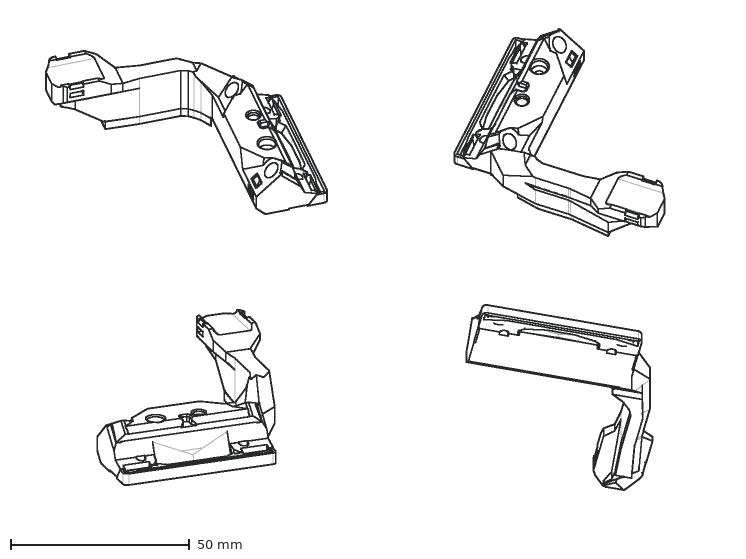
import cadquery as cq
import math

BAR_LEFT = 14.05
BAR_RIGHT = 59.9
BAR_MID = (BAR_LEFT + BAR_RIGHT) / 2
BAR_FRONT = 44.5
BAR_REAR = 56.5
DECK_Z = 13.2
DECK_REAR_Y = 54.65
REAR_TOP_Z = 11.5
REAR_BREAK_Z = 9.6
REAR_KNEE = (58.65, 5.1)
REAR_FOOT = (60.9, 0.5)
UNDERCUT = 2.7
END_BEVEL = 0.45

SCREW_ANGLE = math.radians(41.0)
SCREW_SLOPE = math.tan(SCREW_ANGLE)
SCREW_FACE_FOOT_Z = 6.9
SCREW_OFFSET = 18.7
SCREW_Y = 50.2
SCREW_Z = SCREW_FACE_FOOT_Z + (SCREW_Y - BAR_FRONT) * SCREW_SLOPE
SCREW_HOLE_D = 4.7
SCREW_HOLE_DEPTH = 5.9
SCREW_PLACES = (BAR_MID - SCREW_OFFSET, BAR_MID + SCREW_OFFSET)
DRIVER_RADIUS = 4.2
DRIVER_HEIGHT = 5.25

BOSS_HALF_WIDTH = 3.3
BOSS_SHOULDER = 2.2
BOSS_CREST = 3.95
BOSS_CREST_HALF_WIDTH = 0.45
BOSS_SWEEP = (0, 6.0, -5.1)

DECK_HOLE_Y = 52.2
SHALLOW_HOLE_X = 32.35
SHALLOW_HOLE_D = 3.4
SHALLOW_HOLE_RIM = 4.25
SHALLOW_HOLE_DEPTH = 1.3
DEEP_HOLE_X = 45.35
DEEP_HOLE_D = 4.7
DEEP_HOLE_RIM = 5.65
DEEP_HOLE_DEPTH = 2.6
DEEP_HOLE_FLOOR_D = 2.7
SLOT_HALF_WIDTH = 1.25
SLOT_END_Y = 52.75
SLOT_CORNER = 0.5
SLOT_RIM = 0.5
SLOT_FLOOR_Z = 11.15

LOOP_X = 54.8
LOOP_RADIUS = 2.2
LOOP_WIDTH = 3.8
LOOP_GAP = 1.7
LOOP_BEVEL = 0.3

JOINT_FOOT_Y = 59.5
LUG_TIP = (62.5, 3.8)
LUG_INNER = 25.8
LUG_STEP_X = 25.3
LUG_STEP_Y = 61.1
LUG_END_Y = 63.0
POCKET_X = 19.3
POCKET_D = 7.8
POCKET_FLOOR = (64.3, 3.2)
END_HOLE_D = 2.7
END_HOLE_OFFSET = 15.4
END_HOLE_Y = 59.05
END_HOLE_FLAT_Y = 58.6

FRAME_REAR = 65.6
FRAME_HEIGHT = 3.4
FRAME_WALL = 0.85
FRAME_CORNER = 1.3
FRAME_FRONT_STRIP_Y = 63.1

ARM_TOP = 16.4
ARM_BOTTOM = 2.7
ARM_BEVEL_TOP = 4.8
ROOT_START = 44.2
ROOT_REAR = (BAR_LEFT, 54.15)
ROOT_PEAK = (11.6, 43.2, 18.05)
ROOT_RIDGE_END = (BAR_LEFT, 51.45)
ROOT_VALLEY = (16.75, 46.7)
LIP_LOW_Z = 8.85
LIP_TOP_Z = 11.35
WAIST = (6.3, 11.7)
FOOT_FRONT = 15.5
FOOT_RIGHT = 18.05

CRADLE_WIDTH = 14.1
CRADLE_TOP = 20.8
CRADLE_FLOOR = 19.55
CRADLE_LEFT_LOW_Z = 16.9
CRADLE_RIGHT_LOW_Z = 15.3
CRADLE_WALL = 1.4
TROUGH_END = 14.9
TROUGH_FILLET = 1.2
TROUGH_CORNER = 1.0
TIE_Y = 4.15
TIE_WIDTH = 3.95
TIE_SLOT_BOTTOM = 16.85
TIE_SLOT_TOP = 18.4

ARM_LEFT = [(7.95, 48.05), (5.6, 37.4), (5.6, 27.4), (5.5, 26.8), (3.6, 14.6)]
ARM_RIGHT = [(11.15, 25.2), (11.15, 37.4), (11.95, 39.45), (12.9, 40.6), (14.5, 42.2), (18.4, BAR_FRONT)]
ARM_TIP = [(6.3, 5.85), (7.35, 2.3), (11.0, 2.3), (9.7, 6.9)]
FOOT_LEFT = [(10.05, 47.1), (7.7, 37.4), (7.7, 27.4), (7.6, 26.8), (5.8, 14.6)]
FOOT_CORNER = (10.5, 14.6)
CRADLE_OUTLINE = [
    (4.5, 20.2), (0, 16.15), (0, 3.3), (0.65, 2.2), (4.3, 0),
    (9.8, 0), (13.45, 2.2), (CRADLE_WIDTH, 3.3), (CRADLE_WIDTH, 16.15), (11.9, 20.2),
]

FAR = 262.5


def half_space(point, normal):
    """Very large block filling the side of a plane that its normal points to."""
    return cq.Workplane(cq.Plane(origin=point, normal=normal)).rect(FAR, FAR).extrude(FAR)


def upward_normal(p1, p2, p3):
    normal = (cq.Vector(*p2) - cq.Vector(*p1)).cross(cq.Vector(*p3) - cq.Vector(*p1))
    return normal if normal.z > 0 else normal * -1


def above(p1, p2, p3):
    """Half space above the plane through three points."""
    return half_space(p1, upward_normal(p1, p2, p3).toTuple())


def below(p1, p2, p3):
    """Half space below the plane through three points."""
    return half_space(p1, (upward_normal(p1, p2, p3) * -1).toTuple())


def above_slope_in_x(p1, p2):
    """Half space above the plane that runs along Y through two (X, Z) points."""
    (x1, z1), (x2, z2) = p1, p2
    return above((x1, 0, z1), (x1, 0.65, z1), (x2, 0, z2))


def above_slope_in_y(p1, p2):
    """Half space above the plane that runs along X through two (Y, Z) points."""
    (y1, z1), (y2, z2) = p1, p2
    return above((0, y1, z1), (0.65, y1, z1), (0, y2, z2))


def plan_prism(points, z0, z1):
    """Upright prism from (X, Y) points."""
    return cq.Workplane("XY", origin=(0, 0, z0)).polyline(points).close().extrude(z1 - z0)


def side_prism(points, x0, x1):
    """Prism along X from (Y, Z) points."""
    return cq.Workplane("YZ", origin=(x0, 0, 0)).polyline(points).close().extrude(x1 - x0)


def front_prism(points, y0, y1):
    """Prism along Y from (X, Z) points."""
    return cq.Workplane("XZ", origin=(0, y0, 0)).polyline(points).close().extrude(y0 - y1)


def plan_loft(low, high, z0, z1):
    """Straight-sided transition between two plan outlines."""
    lower = cq.Workplane("XY", origin=(0, 0, z0)).polyline(low).close()
    return lower.workplane(offset=z1 - z0).polyline(high).close().loft(ruled=True)


def box(x0, x1, y0, y1, z0, z1):
    return cq.Workplane("XY").box(x1 - x0, y1 - y0, z1 - z0, centered=False).translate((x0, y0, z0))


def mirrored(shape):
    """The same shape at the other end of the crossbar."""
    return shape.mirror("YZ", (BAR_MID, 0, 0))


def symmetric(points):
    """Left half outline completed with its mirror image about the crossbar middle."""
    return points + [(2 * BAR_MID - x, y) for x, y in reversed(points)]


def upper_arm():
    """Cradle and upper half of the arm, undercut on both flanks."""
    plan = plan_prism(ARM_LEFT[:4] + CRADLE_OUTLINE + ARM_RIGHT, 0, CRADLE_TOP)
    left = above_slope_in_x(WAIST, (0, CRADLE_LEFT_LOW_Z))
    right = above_slope_in_x((10.8, 12.6), (CRADLE_WIDTH, CRADLE_RIGHT_LOW_Z))
    return plan.intersect(left).intersect(right)


def lower_arm():
    """Narrow lower half of the arm with a bevelled bottom edge on the left."""
    rim = ARM_LEFT + ARM_TIP + ARM_RIGHT
    base = FOOT_LEFT + ARM_TIP + ARM_RIGHT
    bevelled = plan_loft(base, rim, ARM_BOTTOM, ARM_BEVEL_TOP)
    return plan_prism(rim, ARM_BEVEL_TOP, ARM_TOP).union(bevelled).cut(front_bevel())


def front_bevel():
    """Bevel where the left flank meets the rising front underside."""
    front_y = 15.0
    flank = ARM_LEFT[-1] + (ARM_BEVEL_TOP,)
    tip = ARM_TIP[0] + (11.5,)
    cutter = below(flank, tip, (FOOT_LEFT[-1][0], front_y, ARM_BOTTOM))
    return cutter.intersect(box(-FAR, FAR, -FAR, front_y, -FAR, FAR))


def arm_root():
    """Sloping block that carries the arm into the crossbar."""
    outline = [ROOT_REAR] + ARM_LEFT[:2] + ARM_RIGHT[2:] + [ROOT_VALLEY, ROOT_RIDGE_END]
    shoulder = ARM_LEFT[0] + (ARM_BEVEL_TOP,)
    base = FOOT_LEFT[0] + (ARM_BOTTOM,)
    root = plan_prism(outline, 0, ROOT_PEAK[2])
    root = root.cut(below(ROOT_REAR + (END_BEVEL,), shoulder, base))
    return root.cut(below(ARM_LEFT[1] + (ARM_BEVEL_TOP,), shoulder, base))


def arm_side_outline():
    """Side silhouette that trims the whole arm."""
    behind = 59.05
    points = [
        (0, CRADLE_TOP), (0, 13.05), (4.6, 10.2), (15.0, ARM_BOTTOM),
        (ROOT_START, ARM_BOTTOM), (ROOT_START + UNDERCUT, 0), (behind, 0), (behind, ROOT_PEAK[2]),
        ROOT_PEAK[1:], (41.7, ARM_TOP), (20.3, ARM_TOP), (12.65, CRADLE_TOP),
    ]
    return side_prism(points, -0.65, BAR_MID)


def root_slope():
    """Everything above the facet that falls from the peak towards the rear left."""
    facet = above(ROOT_REAR + (10.7,), ARM_LEFT[0] + (9.8,), ROOT_PEAK)
    return facet.intersect(box(-FAR, FAR, ARM_LEFT[1][1], FAR, 0, FAR))


def waist_groove():
    """V groove along the left flank, between the upper and lower half of the arm."""
    lower_z = 6.2
    outside = -6.55
    points = [WAIST, (0, CRADLE_LEFT_LOW_Z), (outside, CRADLE_LEFT_LOW_Z), (outside, lower_z), (0, lower_z)]
    return front_prism(points, -0.65, BAR_FRONT)


def cradle_trough():
    trough = box(CRADLE_WALL, CRADLE_WIDTH - CRADLE_WALL, -0.65, TROUGH_END, CRADLE_FLOOR, CRADLE_TOP + 0.65)
    trough = trough.edges("|Z and >Y").chamfer(TROUGH_CORNER)
    return trough.edges("|Y and <Z").fillet(TROUGH_FILLET)


def tie_passage():
    """Cross slot under the trough and bevelled wall tops, for a tie round the cradle."""
    tie_end = TIE_Y + TIE_WIDTH
    bevel = [(0, 19.75), (0.9, 20.55), (2, 20.55), (2, CRADLE_TOP + 0.65), (-0.65, CRADLE_TOP + 0.65), (-0.65, 19.15)]
    slot = box(-0.65, CRADLE_WIDTH + 0.65, TIE_Y, tie_end, TIE_SLOT_BOTTOM, TIE_SLOT_TOP)
    notch = front_prism(bevel, TIE_Y, tie_end)
    return slot.union(notch).union(notch.mirror("YZ", (CRADLE_WIDTH / 2, 0, 0)))


def make_arm():
    body = upper_arm().union(lower_arm()).union(arm_root()).intersect(arm_side_outline())
    for cutter in (root_slope(), waist_groove(), cradle_trough(), tie_passage()):
        body = body.cut(cutter)
    return body


def bar_core():
    profile = [
        (BAR_FRONT, UNDERCUT), (BAR_FRONT, DECK_Z), (DECK_REAR_Y, DECK_Z), (BAR_REAR, REAR_TOP_Z),
        (BAR_REAR, REAR_BREAK_Z), REAR_KNEE, REAR_FOOT, (REAR_FOOT[0], 0), (BAR_FRONT + UNDERCUT, 0),
    ]
    return side_prism(profile, BAR_LEFT, BAR_RIGHT)


def rear_facets():
    """Shallow valley of two facets in the rear face between the lugs."""
    fall = (REAR_BREAK_Z - REAR_KNEE[1]) / (REAR_KNEE[0] - BAR_REAR)
    side_y = 57.1
    valley_y = 59.3
    side = (LUG_INNER, side_y, REAR_BREAK_Z - fall * (side_y - BAR_REAR))
    valley = (BAR_MID, valley_y, REAR_BREAK_Z - fall * (valley_y - BAR_REAR))
    facet = above(side, valley, (BAR_MID, REAR_FOOT[0], 0.25))
    facet = facet.intersect(box(LUG_INNER, BAR_MID, BAR_REAR, FRAME_REAR, -0.65, REAR_BREAK_Z))
    return facet.union(mirrored(facet))


def joint_space(inner_x):
    """Room of the strap frame below the sloping joint face, from the left end to inner_x."""
    profile = [(JOINT_FOOT_Y, 0), LUG_TIP, (FRAME_REAR, LUG_TIP[1]), (FRAME_REAR, -0.65), (JOINT_FOOT_Y, -0.65)]
    return side_prism(profile, BAR_LEFT, inner_x)


def lug():
    """Left end block that overhangs the strap frame, stepped back in front of the frame pocket."""
    start_y = 56.45
    profile = [(start_y, 0), (start_y, REAR_BREAK_Z), REAR_KNEE, LUG_TIP, (JOINT_FOOT_Y, 0)]
    plan = [
        (BAR_LEFT, start_y), (LUG_INNER, start_y), (LUG_INNER, 57.1), (LUG_STEP_X, LUG_STEP_Y),
        (23.6, LUG_END_Y), (BAR_LEFT, LUG_END_Y),
    ]
    body = side_prism(profile, BAR_LEFT, LUG_INNER).intersect(plan_prism(plan, 0, DECK_Z))
    radius = POCKET_D / 2
    return body.cut(box(POCKET_X - radius, POCKET_X + radius, LUG_STEP_Y, FRAME_REAR, 0, DECK_Z))


def end_bevel():
    """Small bevel along the lower edge of the left end."""
    bevel = half_space((BAR_LEFT, 0, END_BEVEL), (-1, 0, -1))
    return bevel.intersect(box(0, BAR_MID, ROOT_REAR[1], FRAME_REAR, -0.65, UNDERCUT))


def end_roof():
    """Low sloping roof behind the left boss, with a bevelled outer edge."""
    zone = box(0, BAR_MID, DECK_HOLE_Y, 59.05, 0, 32.8)
    slope = above_slope_in_y((54.15, 11.7), (57.4, 8.6))
    side = half_space((18.65, DECK_REAR_Y, DECK_Z), (-1, 0.6, 0.8))
    bevel = half_space(ROOT_REAR + (10.7,), (-1, 0.94, 1))
    return slope.intersect(side).intersect(zone).union(bevel.intersect(zone))


def end_hole():
    """Vertical hole with a flat front side near the left end."""
    x = BAR_MID - END_HOLE_OFFSET
    hole = cq.Workplane("XY").center(x, END_HOLE_Y).circle(END_HOLE_D / 2).extrude(DECK_Z)
    return hole.intersect(box(0, BAR_MID, END_HOLE_FLAT_Y, FRAME_REAR, -0.65, DECK_Z))


def screw_plane(x):
    normal = (0, -math.sin(SCREW_ANGLE), math.cos(SCREW_ANGLE))
    return cq.Plane(origin=(x, SCREW_Y, SCREW_Z), xDir=(1, 0, 0), normal=normal)


def right_screw_recess():
    """Space above the right screw face, closed by a leaning wall towards the bar middle."""
    zone = box(BAR_MID, FAR, ROOT_START - 4.6, FAR, 0, FAR)
    face = above_slope_in_y((BAR_FRONT, SCREW_FACE_FOOT_Z), (SCREW_Y, SCREW_Z))
    wall = above((44.8, BAR_FRONT, DECK_Z), (47.05, BAR_FRONT, SCREW_FACE_FOOT_Z), (52.05, 49.9, DECK_Z))
    return zone.intersect(face).intersect(wall)


def left_screw_recess():
    """Recess between the left screw face, the arm root and the rising front lip."""
    lip = above_slope_in_y((ROOT_VALLEY[1], LIP_LOW_Z), (BAR_FRONT, LIP_TOP_Z))
    root_face = above(ROOT_PEAK, ROOT_RIDGE_END + (13.0,), ROOT_VALLEY + (LIP_LOW_Z,))
    return mirrored(right_screw_recess()).intersect(lip).intersect(root_face)


def driver_clearance(x):
    """Round clearance over the screw face, on the side towards the bar middle."""
    clearance = cq.Workplane(screw_plane(x)).circle(DRIVER_RADIUS).extrude(DRIVER_HEIGHT)
    return clearance.intersect(box(min(x, BAR_MID), max(x, BAR_MID), BAR_FRONT, FRAME_REAR, 0, 32.8))


def boss(x):
    """Gabled boss on the screw face, swept down into the crossbar."""
    root = -0.65
    outline = [
        (-BOSS_HALF_WIDTH, BOSS_SHOULDER), (-BOSS_CREST_HALF_WIDTH, BOSS_CREST),
        (BOSS_CREST_HALF_WIDTH, BOSS_CREST), (BOSS_HALF_WIDTH, BOSS_SHOULDER),
        (BOSS_HALF_WIDTH, root), (-BOSS_HALF_WIDTH, root),
    ]
    wire = cq.Workplane(screw_plane(x)).polyline(outline).close().val()
    solid = cq.Workplane(cq.Solid.extrudeLinear(wire, [], cq.Vector(*BOSS_SWEEP)))
    return solid.intersect(box(BAR_LEFT, BAR_RIGHT, BAR_FRONT, BAR_REAR, 0, 32.8))


def screw_hole(x):
    return cq.Workplane(screw_plane(x)).circle(SCREW_HOLE_D / 2).extrude(-SCREW_HOLE_DEPTH)


def deck_cone(x, top_z, top_diameter, low_diameter):
    """45 degree cone narrowing downwards from top_z."""
    depth = (top_diameter - low_diameter) / 2
    base = cq.Vector(x, DECK_HOLE_Y, top_z - depth)
    return cq.Workplane(cq.Solid.makeCone(low_diameter / 2, top_diameter / 2, depth, base))


def deck_hole(x, diameter, rim, depth):
    """Blind hole in the deck with a chamfered rim."""
    bore = cq.Solid.makeCylinder(diameter / 2, depth, cq.Vector(x, DECK_HOLE_Y, DECK_Z - depth))
    return cq.Workplane(bore).union(deck_cone(x, DECK_Z, rim, diameter))


def slot_outline(half_width, end_y, corner):
    left = BAR_MID - half_width
    return symmetric([(left, 59.05), (left, end_y + corner), (left + corner, end_y)])


def deck_slot():
    """Slot open to the rear, with a chamfered rim and a flared mouth."""
    inner = slot_outline(SLOT_HALF_WIDTH, SLOT_END_Y, SLOT_CORNER)
    outer = slot_outline(SLOT_HALF_WIDTH + SLOT_RIM, SLOT_END_Y - SLOT_RIM, SLOT_CORNER + 0.2)
    flare_depth = 1.1
    left = BAR_MID - SLOT_HALF_WIDTH
    flare = symmetric([(left - flare_depth, BAR_REAR), (left, BAR_REAR - flare_depth)])
    slot = plan_prism(inner, SLOT_FLOOR_Z, DECK_Z).union(plan_prism(flare, SLOT_FLOOR_Z, DECK_Z))
    return slot.union(plan_loft(inner, outer, DECK_Z - SLOT_RIM, DECK_Z))


def tie_loop():
    """Curved tie channel from the screw face to the front face, with bevelled mouths."""
    channel = (
        cq.Workplane("YZ", origin=(LOOP_X - LOOP_WIDTH / 2, BAR_FRONT, SCREW_FACE_FOOT_Z))
        .circle(LOOP_RADIUS + LOOP_GAP / 2).circle(LOOP_RADIUS - LOOP_GAP / 2).extrude(LOOP_WIDTH)
    )
    rise = LOOP_RADIUS * math.sin(SCREW_ANGLE)
    upper = (LOOP_X, BAR_FRONT + LOOP_RADIUS * math.cos(SCREW_ANGLE), SCREW_FACE_FOOT_Z + rise)
    lower = (LOOP_X, BAR_FRONT, SCREW_FACE_FOOT_Z - LOOP_RADIUS)
    for origin, outward in ((upper, screw_plane(LOOP_X).zDir.toTuple()), (lower, (0, -1, 0))):
        mouth = (
            cq.Workplane(cq.Plane(origin=origin, xDir=(1, 0, 0), normal=outward))
            .rect(LOOP_WIDTH + 2 * LOOP_BEVEL, LOOP_GAP + 2 * LOOP_BEVEL)
            .extrude(-LOOP_BEVEL, taper=45)
        )
        channel = channel.union(mouth)
    return channel


def make_holder():
    """Crossbar and arm as one body."""
    trim = joint_space(LUG_INNER)
    body = bar_core().cut(rear_facets()).cut(trim).cut(mirrored(trim))
    body = body.union(lug()).union(mirrored(lug())).union(make_arm())
    for cutter in (end_bevel(), end_roof(), end_hole()):
        body = body.cut(cutter).cut(mirrored(cutter))
    body = body.cut(right_screw_recess()).cut(left_screw_recess())
    for x in SCREW_PLACES:
        body = body.cut(driver_clearance(x)).union(boss(x)).cut(screw_hole(x))
    body = body.cut(deck_hole(SHALLOW_HOLE_X, SHALLOW_HOLE_D, SHALLOW_HOLE_RIM, SHALLOW_HOLE_DEPTH))
    body = body.cut(deck_hole(DEEP_HOLE_X, DEEP_HOLE_D, DEEP_HOLE_RIM, DEEP_HOLE_DEPTH))
    body = body.cut(deck_cone(DEEP_HOLE_X, DECK_Z - DEEP_HOLE_DEPTH, DEEP_HOLE_D, DEEP_HOLE_FLOOR_D))
    return body.cut(deck_slot()).cut(tie_loop())


def make_foot():
    plan = plan_prism(FOOT_LEFT + [FOOT_CORNER] + ARM_RIGHT, 0, ARM_BOTTOM)
    return plan.intersect(box(0, FOOT_RIGHT, FOOT_FRONT, ROOT_START, 0, ARM_BOTTOM))


def frame_pocket():
    """Flat-bottomed round pocket sunk square into the left joint face."""
    joint_run = LUG_TIP[0] - JOINT_FOOT_Y
    joint_rise = LUG_TIP[1]
    plane = cq.Plane(origin=(POCKET_X,) + POCKET_FLOOR, xDir=(1, 0, 0), normal=(0, -joint_rise, joint_run))
    pocket = cq.Workplane(plane).circle(POCKET_D / 2).extrude(POCKET_D)
    return pocket.intersect(box(0, BAR_MID, BAR_REAR, FRAME_FRONT_STRIP_Y, -0.65, DECK_Z))


def frame_window():
    """Opening between the crossbar and the front strip, wider at the top."""
    start = [(LUG_STEP_X, BAR_REAR), (LUG_STEP_X, LUG_STEP_Y)]
    strip = (33.1, FRAME_FRONT_STRIP_Y)
    low = symmetric(start + [(26.8, 62.1), strip])
    high = symmetric(start + [(27.95, FRAME_FRONT_STRIP_Y - 0.05), strip])
    return plan_loft(low, high, 0, FRAME_HEIGHT)


def strap_gap():
    """Long opening for the strap, bounded in front by the bent strip."""
    left = BAR_LEFT + FRAME_WALL
    rear = FRAME_REAR - FRAME_WALL
    return plan_prism(symmetric([(left, rear), (left, 62.9), (21.3, 64.05)]), 0, FRAME_HEIGHT)


def make_frame():
    body = box(BAR_LEFT, BAR_RIGHT, JOINT_FOOT_Y, FRAME_REAR, 0, FRAME_HEIGHT)
    body = body.edges("|Z and >Y").fillet(FRAME_CORNER)
    body = body.cut(strap_gap()).cut(frame_window())
    over_joint = side_prism(
        [(BAR_REAR, 0), (JOINT_FOOT_Y, 0), LUG_TIP, (BAR_REAR, LUG_TIP[1])], BAR_LEFT, LUG_STEP_X
    )
    for cutter in (over_joint, frame_pocket(), end_hole()):
        body = body.cut(cutter).cut(mirrored(cutter))
    return body


holder = make_holder()
foot = make_foot()
frame = make_frame()

result = cq.Compound.makeCompound([body.solids().val() for body in (holder, foot, frame)])